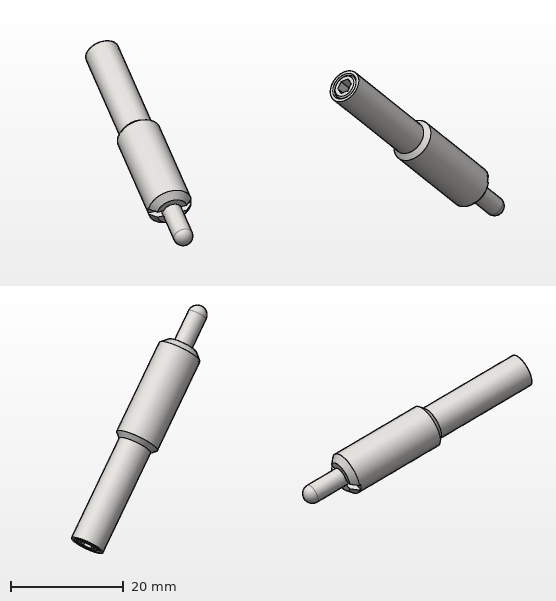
import cadquery as cq

total_length = 48.0
tail_length = 20.0
body_length = 19.95
tail_start = -total_length / 2
body_start = tail_start + tail_length
body_end = body_start + body_length
tip_end = tail_start + total_length

tail_diameter = 6.2
body_diameter = 8.0
pin_diameter = 3.5

nose_chamfer = 1.2

slot_width = 1.3
slot_depth = 1.5

countersink_diameter = 5.1
screw_diameter = 4.6
screw_face_diameter = 4.05
hex_across_flats = 2.5
hex_depth = 2.5


def turned_body():
    """Tail, chamfered body and round-tipped pin, revolved about the X axis."""
    tail_radius = tail_diameter / 2
    body_radius = body_diameter / 2
    pin_radius = pin_diameter / 2
    rear_chamfer = body_radius - tail_radius
    dome_start = tip_end - pin_radius
    dome_middle = pin_radius * 0.5 ** 0.5
    return (
        cq.Workplane("XY")
        .moveTo(tail_start, 0)
        .lineTo(tail_start, tail_radius)
        .lineTo(body_start, tail_radius)
        .lineTo(body_start + rear_chamfer, body_radius)
        .lineTo(body_end - nose_chamfer, body_radius)
        .lineTo(body_end, body_radius - nose_chamfer)
        .lineTo(body_end, pin_radius)
        .lineTo(dome_start, pin_radius)
        .threePointArc((dome_start + dome_middle, dome_middle), (tip_end, 0))
        .close()
        .revolve(360, (0, 0, 0), (1, 0, 0))
    )


def screw_rim_groove():
    """V-shaped ring between the tail countersink and the screw's chamfer."""
    outer_radius = countersink_diameter / 2
    bottom_radius = screw_diameter / 2
    inner_radius = screw_face_diameter / 2
    groove_depth = outer_radius - bottom_radius
    return (
        cq.Workplane("XY")
        .moveTo(tail_start, inner_radius)
        .lineTo(tail_start + groove_depth, bottom_radius)
        .lineTo(tail_start, outer_radius)
        .close()
        .revolve(360, (0, 0, 0), (1, 0, 0))
    )


def hex_socket():
    """Hexagonal socket with two flats facing up and down."""
    across_corners = hex_across_flats / 0.75 ** 0.5
    return (
        cq.Workplane("YZ", origin=(tail_start, 0, 0))
        .polygon(6, across_corners)
        .extrude(hex_depth)
    )


def nose_slot():
    """Slot through the nose along Y, leaving the pin whole."""
    slot = cq.Workplane("XY").box(slot_depth, body_diameter, slot_width)
    slot = slot.translate((body_end - slot_depth / 2, 0, 0))
    pin = (
        cq.Workplane("YZ", origin=(body_end - slot_depth, 0, 0))
        .circle(pin_diameter / 2)
        .extrude(slot_depth)
    )
    return slot.cut(pin)


result = turned_body().cut(screw_rim_groove()).cut(hex_socket()).cut(nose_slot())